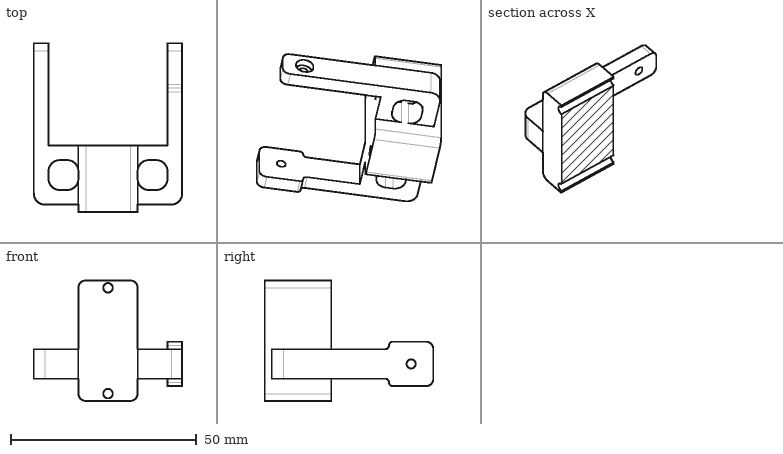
import cadquery as cq

block_width = 16.0
block_depth = 18.0
block_height = 32.5
block_edge_radius = 2.0
screw_hole_diameter = 2.5
screw_hole_edge_distance = 2.0

bracket_width = 40.0
bracket_height = 8.0
bracket_bottom = 6.0
bracket_setback = 2.0
bracket_corner_radius = 3.0
arm_thickness = 4.0
arm_tip_y = 45.5
arm_tip_radius = 2.0

window_size = 8.0
window_corner_radius = 3.0

ear_length = 12.0
ear_overhang = 2.0

pivot_tip_distance = 6.0
pivot_diameter = 2.4
counterbore_diameter = 4.8
counterbore_depth = 2.0

half_bracket = bracket_width / 2
bracket_top = bracket_bottom + bracket_height
bracket_mid_z = bracket_bottom + bracket_height / 2
crossbar_mid_y = (bracket_setback + block_depth) / 2
window_x = (block_width + window_size) / 2
ear_blend_radius = ear_overhang / 2
ear_height = bracket_height + 2 * ear_overhang
pivot_y = arm_tip_y - pivot_tip_distance


def box_between(x_min, x_max, y_min, y_max, z_min, z_max):
    """Box spanning the given limits."""
    size = (x_max - x_min, y_max - y_min, z_max - z_min)
    return cq.Workplane("XY").box(*size, centered=False).translate((x_min, y_min, z_min))


def make_block():
    """Upright block with four rounded long edges."""
    half_width = block_width / 2
    block = box_between(-half_width, half_width, 0, block_depth, 0, block_height)
    return block.edges("|Y").fillet(block_edge_radius)


def make_arm(x_min):
    """Arm from the crossbar's back face to a rounded tip."""
    x_max = x_min + arm_thickness
    arm = box_between(x_min, x_max, block_depth, arm_tip_y, bracket_bottom, bracket_top)
    return arm.edges("|X and >Y").fillet(arm_tip_radius)


def make_crossbar():
    """Crossbar with rounded front corners and two rounded windows."""
    bar = box_between(
        -half_bracket, half_bracket, bracket_setback, block_depth, bracket_bottom, bracket_top
    )
    bar = bar.edges("|Z and <Y").fillet(bracket_corner_radius)
    windows = (
        cq.Workplane("XY", origin=(0, crossbar_mid_y, bracket_bottom))
        .pushPoints([(-window_x, 0), (window_x, 0)])
        .rect(window_size, window_size)
        .extrude(bracket_height)
        .edges("|Z")
        .fillet(window_corner_radius)
    )
    return bar.cut(windows)


def make_eared_arm(x_min):
    """Arm whose tip widens into an ear, blended in by S-shaped steps."""
    step = ear_blend_radius
    upper_half = (
        cq.Workplane("YZ", origin=(x_min, 0, bracket_mid_z))
        .moveTo(block_depth, 0)
        .lineTo(block_depth, bracket_height / 2)
        .lineTo(arm_tip_y - ear_length - step, bracket_height / 2)
        .tangentArcPoint((step, step))
        .tangentArcPoint((step, step))
        .lineTo(arm_tip_y - arm_tip_radius, ear_height / 2)
        .tangentArcPoint((arm_tip_radius, -arm_tip_radius))
        .lineTo(arm_tip_y, 0)
        .close()
        .extrude(arm_thickness)
    )
    lower_half = upper_half.mirror("XY", (0, 0, bracket_mid_z))
    return upper_half.union(lower_half)


def x_cylinder(diameter, x_min, length):
    """Cylinder along X on the pivot axis."""
    plane = cq.Workplane("YZ", origin=(x_min, pivot_y, bracket_mid_z))
    return plane.circle(diameter / 2).extrude(length)


def make_screw_holes():
    """Two holes along Y, near the top and bottom of the block."""
    hole_heights = (screw_hole_edge_distance, block_height - screw_hole_edge_distance)
    return (
        cq.Workplane("XZ", origin=(0, block_depth, 0))
        .pushPoints([(0, z) for z in hole_heights])
        .circle(screw_hole_diameter / 2)
        .extrude(block_depth)
    )


bracket = make_crossbar()
bracket = bracket.union(make_arm(-half_bracket))
bracket = bracket.union(make_eared_arm(half_bracket - arm_thickness))
bracket = bracket.cut(x_cylinder(pivot_diameter, -half_bracket, bracket_width))
bracket = bracket.cut(x_cylinder(counterbore_diameter, -half_bracket, counterbore_depth))

result = bracket.union(make_block()).cut(make_screw_holes())